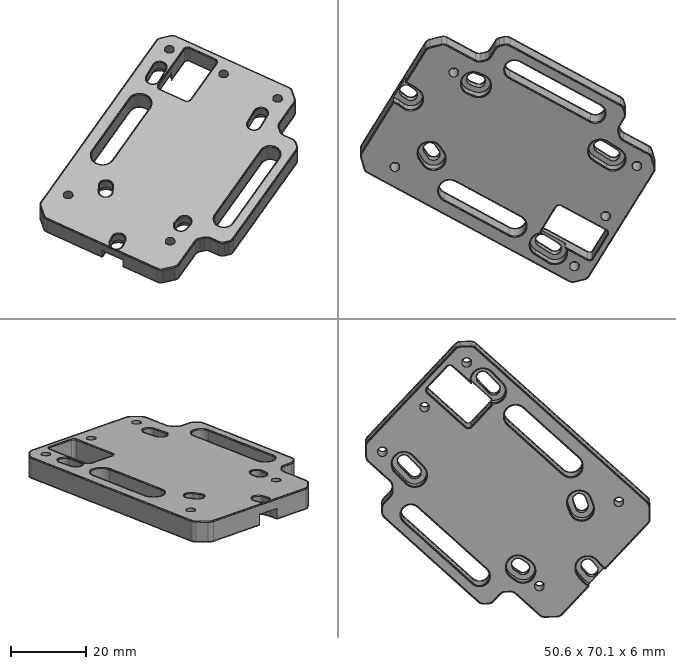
import cadquery as cq
import math

thickness = 6.0
body_width = 42.3
length = 70.1
overall_width = 50.6
ear_bottom = 15.85
ear_top = 55.6
lower_corner_cut = 3.45
upper_corner_cut = 3.1
ear_corner_cut = 2.0
corner_radius = 2.0
edge_chamfer = 0.245

hole_diameter = 2.5
top_hole_y = 65.3
top_hole_spacing = 16.55
bottom_hole_y = 9.75
bottom_hole_xs = (5.2, 36.4)

window_left = 8.0
window_bottom = 52.6
window_width = 9.7
window_height = 15.7
window_corner_radius = 1.0

left_slot_width = 6.0
left_slot_x = 6.6
left_slot_ends = (22.8, 48.8)
right_slot_width = 5.25
right_slot_x = 45.15
right_slot_ends = (20.7, 50.75)

screw_slot_width = 3.5
upper_left_slot = ((5.55, 54.7), (5.25, 58.8))
upper_right_slot = ((36.5, 54.7), (36.25, 58.8))
lower_left_slot = ((13.25, 15.8), (12.4, 17.4))
lower_right_slot = ((36.25, 15.8), (36.45, 17.4))
edge_slot = ((24.3, 2.0), (24.1, 3.65))
screw_slots = (upper_left_slot, upper_right_slot, lower_left_slot, lower_right_slot, edge_slot)

head_recess_width = 6.3
head_recess_depth = 3.15


def make_plate():
    """Plate with cut and rounded corners and chamfered rims."""
    low_cut = lower_corner_cut
    high_cut = upper_corner_cut
    ear_cut = ear_corner_cut
    outline = [
        (low_cut, 0),
        (body_width - low_cut, 0),
        (body_width, low_cut),
        (body_width, ear_bottom - ear_cut),
        (body_width + ear_cut, ear_bottom),
        (overall_width - ear_cut, ear_bottom),
        (overall_width, ear_bottom + ear_cut),
        (overall_width, ear_top - ear_cut),
        (overall_width - ear_cut, ear_top),
        (body_width + ear_cut, ear_top),
        (body_width, ear_top + ear_cut),
        (body_width, length - high_cut),
        (body_width - high_cut, length),
        (high_cut, length),
        (0, length - high_cut),
        (0, low_cut),
    ]
    plate = cq.Workplane("XY").polyline(outline).close().extrude(thickness)
    plate = plate.edges("|Z").fillet(corner_radius)
    return plate.faces("<Z or >Z").edges().chamfer(edge_chamfer)


def slot_between(start, end, width, height):
    """Upright slot body whose round ends are centred on start and end."""
    dx = end[0] - start[0]
    dy = end[1] - start[1]
    middle = ((start[0] + end[0]) / 2, (start[1] + end[1]) / 2)
    return (
        cq.Workplane("XY")
        .center(*middle)
        .slot2D(math.hypot(dx, dy) + width, width, math.degrees(math.atan2(dy, dx)))
        .extrude(height)
    )


def make_window():
    return (
        cq.Workplane("XY")
        .rect(window_width, window_height)
        .extrude(thickness)
        .edges("|Z")
        .fillet(window_corner_radius)
        .translate((window_left + window_width / 2, window_bottom + window_height / 2, 0))
    )


def long_slot(x, ends, width):
    return slot_between((x, ends[0] + width / 2), (x, ends[1] - width / 2), width, thickness)


def flared_below(cutter):
    """Add a sloping collar at the foot of a cutter, to chamfer its opening in the underside."""
    rim = cutter.faces("<Z").wires().val().offset2D(edge_chamfer)[0]
    collar = cq.Workplane("XY").add(rim).toPending().extrude(edge_chamfer, taper=45)
    return cutter.union(collar)


def flared_both(cutter):
    """Add a sloping collar at each end of a through cutter, to chamfer both of its openings."""
    rim = cutter.faces(">Z").wires().val().offset2D(edge_chamfer)[0]
    collar = cq.Workplane("XY").add(rim).toPending().extrude(-edge_chamfer, taper=45)
    return flared_below(cutter).union(collar)


def round_holes():
    middle_x = body_width / 2
    centres = [(middle_x + step * top_hole_spacing, top_hole_y) for step in (-1, 0, 1)]
    centres += [(x, bottom_hole_y) for x in bottom_hole_xs]
    return cq.Workplane("XY").pushPoints(centres).circle(hole_diameter / 2).extrude(thickness)


def head_recess(start, end):
    return flared_below(slot_between(start, end, head_recess_width, head_recess_depth))


result = make_plate().cut(round_holes())
result = result.cut(flared_both(make_window()))
result = result.cut(flared_both(long_slot(left_slot_x, left_slot_ends, left_slot_width)))
result = result.cut(flared_both(long_slot(right_slot_x, right_slot_ends, right_slot_width)))

for slot_ends in screw_slots:
    result = result.cut(flared_both(slot_between(*slot_ends, screw_slot_width, thickness)))
    result = result.cut(head_recess(*slot_ends))

edge_recess_start = edge_slot[0]
edge_recess_exit = (edge_recess_start[0], -head_recess_width)
result = result.cut(head_recess(edge_recess_exit, edge_recess_start))